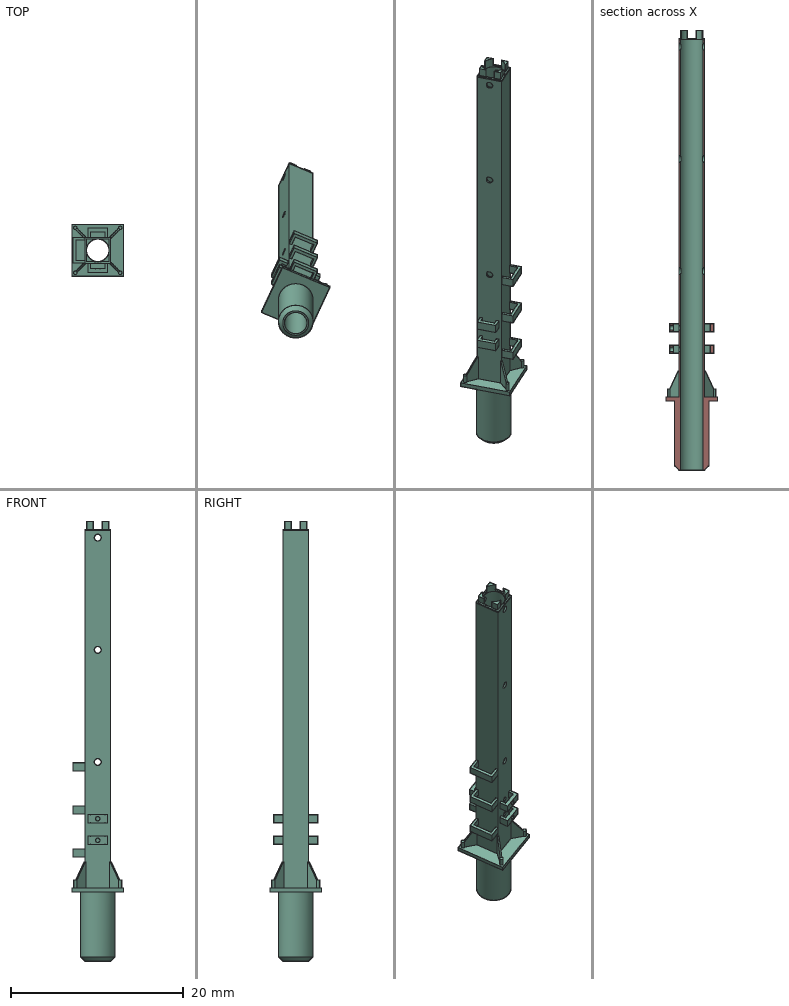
import cadquery as cq
import math

total_height = 50.9
plug_length = 8.0
plate_thickness = 0.5
post_height = 0.9
cap_thickness = 0.15
plate_top = plug_length + plate_thickness
cap_top = total_height - post_height
tower_top = cap_top - cap_thickness

plate_width = 6.0
plug_diameter = 4.0
plug_chamfer = 0.5
bore_diameter = 2.6
pin_diameter = 0.4
pin_height = 0.9
pin_offset = 2.6
gusset_thickness = 0.2
gusset_height = 3.0
pin_top = plate_top + pin_height
gusset_top = plate_top + gusset_height

tower_width = 3.0
tower_half = tower_width / 2
post_square = 2.6
post_gap = 1.0

cross_hole_diameter = 0.75
cross_hole_pitch = 13.0
cross_hole_top = 49.0
cross_hole_heights = [cross_hole_top - i * cross_hole_pitch for i in range(3)]

loop_wall = 0.3
loop_height = 0.95
side_loop_width = 2.95
side_loop_reach = 1.35
side_loop_bar = 0.35
side_loop_lowest = 12.5
side_loop_pitch = 5.0
side_loop_heights = [side_loop_lowest + i * side_loop_pitch for i in range(3)]
face_loop_width = 2.3
face_loop_reach = 1.05
face_loop_bar = 0.45
face_loop_lowest = 14.0
face_loop_pitch = 2.5
face_loop_heights = [face_loop_lowest + i * face_loop_pitch for i in range(2)]
loop_hole_diameter = 0.5


def box_at(size_x, size_y, size_z, z_bottom):
    """Box centred on the Z axis, standing on z_bottom."""
    return cq.Workplane("XY", origin=(0, 0, z_bottom)).box(size_x, size_y, size_z, (True, True, False))


def turned(body, angle):
    """Body turned about the Z axis."""
    return body.rotate((0, 0, 0), (0, 0, 1), angle)


def bore():
    """Cylinder of the bore that runs through the whole part."""
    return cq.Workplane("XY").circle(bore_diameter / 2).extrude(total_height)


def guide_loop(width, reach, bar, z_middle):
    """U-shaped loop standing out from the +X face of the tower."""
    outer = cq.Workplane("XY").box(reach, width, loop_height).translate((reach / 2, 0, 0))
    slot_depth = reach - bar
    slot = cq.Workplane("XY").box(slot_depth, width - 2 * loop_wall, loop_height)
    return outer.cut(slot.translate((slot_depth / 2, 0, 0))).translate((tower_half, 0, z_middle))


def make_base():
    """Chamfered plug, square plate and one pin near each plate corner."""
    plug = cq.Workplane("XY").circle(plug_diameter / 2).extrude(plug_length)
    plug = plug.faces("<Z").chamfer(plug_chamfer)
    plate = box_at(plate_width, plate_width, plate_thickness, plug_length)
    pin_places = [(side_x * pin_offset, side_y * pin_offset) for side_x in (-1, 1) for side_y in (-1, 1)]
    pins = cq.Workplane("XY", origin=(0, 0, plug_length)).pushPoints(pin_places)
    pins = pins.circle(pin_diameter / 2).extrude(plate_thickness + pin_height)
    return plug.union(plate).union(pins)


def make_gusset():
    """Sloped web along +X, from the tower centre line to a pin axis at the diagonal distance."""
    half_thickness = gusset_thickness / 2
    tower_corner = tower_half * math.sqrt(2)
    pin_axis = pin_offset * math.sqrt(2)
    slope_end = pin_axis - math.sqrt((pin_diameter / 2) ** 2 - half_thickness**2)
    return (
        cq.Workplane("XZ")
        .moveTo(0, plug_length)
        .lineTo(pin_axis, plug_length)
        .lineTo(pin_axis, pin_top)
        .lineTo(slope_end, pin_top)
        .lineTo(tower_corner, gusset_top)
        .lineTo(0, gusset_top)
        .close()
        .extrude(half_thickness, both=True)
    )


def make_cap():
    """Thin square ring carrying four corner posts that flank the bore."""
    body = box_at(tower_width, tower_width, cap_thickness, tower_top)
    posts = box_at(post_square, post_square, post_height, cap_top)
    posts = posts.cut(box_at(post_gap, post_square, post_height, cap_top))
    posts = posts.cut(box_at(post_square, post_gap, post_height, cap_top))
    return body.union(posts).cut(bore())


def add_side_loops(body):
    """Column of loops on the -X face."""
    for z in side_loop_heights:
        loop = guide_loop(side_loop_width, side_loop_reach, side_loop_bar, z)
        body = body.union(turned(loop, 180))
    return body


def add_face_loops(body):
    """Two loops on the front face and two on the back face."""
    for z in face_loop_heights:
        loop = guide_loop(face_loop_width, face_loop_reach, face_loop_bar, z)
        for angle in (-90, 90):
            body = body.union(turned(loop, angle))
    return body


def cut_holes(body):
    body = body.cut(bore())
    for z in cross_hole_heights:
        cross_hole = cq.Workplane("XZ", origin=(0, 0, z)).circle(cross_hole_diameter / 2)
        body = body.cut(cross_hole.extrude(tower_width, both=True))
    for z in face_loop_heights:
        loop_hole = cq.Workplane("XZ", origin=(0, 0, z)).circle(loop_hole_diameter / 2)
        body = body.cut(loop_hole.extrude(plate_width))
    return body


def make_mast():
    """Base and square tower in one piece, with gussets, guide loops and holes."""
    body = make_base().union(box_at(tower_width, tower_width, tower_top - plate_top, plate_top))
    for angle in (45, 135, 225, 315):
        body = body.union(turned(make_gusset(), angle))
    body = add_side_loops(body)
    body = add_face_loops(body)
    return cut_holes(body)


mast = make_mast()
cap = make_cap()
result = cq.Compound.makeCompound([mast.val(), cap.val()])